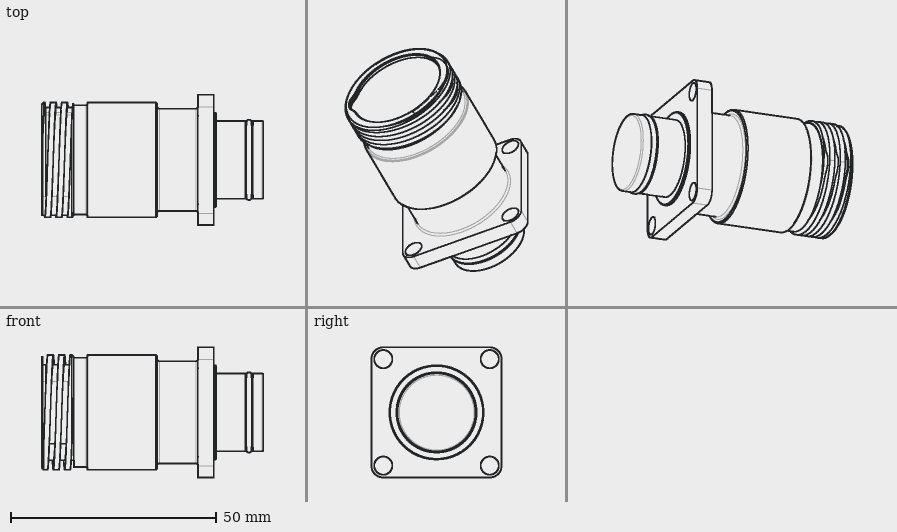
import cadquery as cq
import math

front_collar_end = 0.25
thread_end = 7.9
relief_end = 11.1
barrel_end = 28.15
flange_start = 38.05
flange_thickness = 3.9
flange_end = flange_start + flange_thickness
boss_end = 42.5
seal_groove_start = 49.6
seal_groove_end = 51.4
total_length = 54.0

barrel_radius = 28.0 / 2
collar_radius = 27.0 / 2
relief_radius = 13.35
neck_radius = 12.5
boss_radius = 23.0 / 2
spigot_radius = 19.0 / 2
seal_groove_radius = 17.0 / 2

relief_fillet = 0.3
barrel_front_round = 0.15
barrel_rear_chamfer = 0.3
neck_fillet = 0.5
boss_chamfer = 0.2
spigot_end_round = 0.4

thread_pitch = 2.75
groove_width = 1.4
groove_center_below_axis = 2.15
groove_cutter_inner = 10.8
groove_cutter_outer = 15.1
thread_chamfer = barrel_radius - collar_radius
groove_turns = 5
lead_in_turns = 2

recess_radius = 23.0 / 2
recess_depth = 1.0
recess_chamfer = 0.2
recess_wall = 0.15
key_tip = 25.2 / 2
key_shoulder_y = 11.5
key_shoulder_z = 2.6
key_foot_z = 3.8

pad_radius = 8.55
pad_center_y = pad_radius - collar_radius

flange_size = 31.75
flange_corner_radius = 2.9
flange_hole_diameter = 4.4
flange_hole_pitch = flange_size - 2 * flange_corner_radius

ring_section_radius = 0.65
ring_center_radius = seal_groove_radius + ring_section_radius
ring_wall_gap = 0.2
ring_center_x = seal_groove_start + ring_wall_gap + ring_section_radius


def cylinder(start, end, radius):
    """Solid cylinder on the X axis between two stations."""
    return cq.Workplane("YZ", origin=(start, 0, 0)).circle(radius).extrude(end - start)


def keyed_prism(start, end, offset):
    """Round prism with a key lobe on the +Y side, grown outward by offset."""
    key_foot_y = math.sqrt(recess_radius**2 - key_foot_z**2)
    outline = (
        cq.Workplane("YZ", origin=(start, 0, 0))
        .moveTo(key_foot_y, key_foot_z)
        .threePointArc((-recess_radius, 0), (key_foot_y, -key_foot_z))
        .lineTo(key_shoulder_y, -key_shoulder_z)
        .threePointArc((key_tip, 0), (key_shoulder_y, key_shoulder_z))
        .close()
    )
    if offset:
        outline = outline.offset2D(offset)
    return outline.extrude(end - start)


def thread_groove():
    """Helical groove cutter around the X axis, stopped at the end of the thread."""
    first_center = groove_center_below_axis - lead_in_turns * thread_pitch
    middle_radius = (groove_cutter_inner + groove_cutter_outer) / 2
    helix_length = groove_turns * thread_pitch
    helix = cq.Wire.makeHelix(thread_pitch, helix_length, middle_radius, lefthand=True)
    cutter = (
        cq.Workplane("XZ")
        .center(middle_radius, 0)
        .rect(groove_cutter_outer - groove_cutter_inner, groove_width)
        .sweep(cq.Workplane(helix), isFrenet=True)
        .rotate((0, 0, 0), (0, 1, 0), 90)
        .translate((first_center, 0, 0))
    )
    return cutter.intersect(cylinder(0, thread_end, 2 * groove_cutter_outer))


def threaded_front():
    """Threaded end with its front collar and the keyed thread root."""
    crest = cylinder(0, thread_end, barrel_radius).faces("<X or >X").chamfer(thread_chamfer)
    threads = crest.cut(thread_groove())
    root = keyed_prism(0, thread_end, recess_wall)
    root_pad = (
        cq.Workplane("YZ").center(pad_center_y, 0).circle(pad_radius).extrude(thread_end)
    )
    collar = cylinder(0, front_collar_end, collar_radius)
    return threads.union(root).union(root_pad).union(collar)


def barrel():
    """Relief behind the thread, main barrel and neck, up to the flange."""
    relief = cylinder(thread_end, relief_end, relief_radius)
    main = (
        cylinder(relief_end, barrel_end, barrel_radius)
        .faces("<X").edges().fillet(barrel_front_round)
        .faces(">X").edges().chamfer(barrel_rear_chamfer)
    )
    neck = cylinder(barrel_end, flange_start, neck_radius)
    return (
        relief.union(main).union(neck)
        .union(corner_fillet(relief_end, -1, relief_radius, relief_fillet))
        .union(corner_fillet(barrel_end, 1, neck_radius, neck_fillet))
        .union(corner_fillet(flange_start, -1, neck_radius, neck_fillet))
    )


def corner_fillet(wall_x, side, radius, size):
    """Concave ring between a cylinder and a wall; side is the X direction away from the wall."""
    bulge = size * (1 - math.sqrt(0.5))
    return (
        cq.Workplane("XY")
        .moveTo(wall_x, radius - size)
        .lineTo(wall_x, radius + size)
        .threePointArc((wall_x + side * bulge, radius + bulge), (wall_x + side * size, radius))
        .lineTo(wall_x + side * size, radius - size)
        .close()
        .revolve(360, (0, 0, 0), (1, 0, 0))
    )


def flange():
    """Square plate with rounded corners and a hole concentric with each corner."""
    return (
        cq.Workplane("YZ", origin=(flange_start, 0, 0))
        .rect(flange_size, flange_size)
        .extrude(flange_thickness)
        .edges("|X").fillet(flange_corner_radius)
        .faces(">X").workplane(origin=(flange_end, 0, 0))
        .rect(flange_hole_pitch, flange_hole_pitch, forConstruction=True)
        .vertices()
        .hole(flange_hole_diameter)
    )


def spigot():
    """Boss behind the flange and the spigot with its seal groove."""
    boss = cylinder(flange_end, boss_end, boss_radius).faces(">X").edges().chamfer(boss_chamfer)
    shank = cylinder(boss_end, seal_groove_start, spigot_radius)
    groove_floor = cylinder(seal_groove_start, seal_groove_end, seal_groove_radius)
    tip = (
        cylinder(seal_groove_end, total_length, spigot_radius)
        .faces(">X").edges().fillet(spigot_end_round)
    )
    return boss.union(shank).union(groove_floor).union(tip)


def make_housing():
    """Housing with a threaded front, flange and spigot."""
    recess = keyed_prism(0, recess_depth, 0)
    mouth = (
        keyed_prism(-recess_chamfer, recess_chamfer, recess_chamfer)
        .faces(">X").edges().chamfer(recess_chamfer)
    )
    body = threaded_front().union(barrel()).union(flange()).union(spigot())
    return body.cut(recess).cut(mouth)


def make_seal_ring():
    """Round-section ring seated on the floor of the seal groove."""
    return (
        cq.Workplane("XY")
        .center(ring_center_x, ring_center_radius)
        .circle(ring_section_radius)
        .revolve(360, (0, -ring_center_radius, 0), (1, -ring_center_radius, 0))
    )


housing = make_housing()
seal_ring = make_seal_ring()

result = cq.Compound.makeCompound([housing.val(), seal_ring.val()])